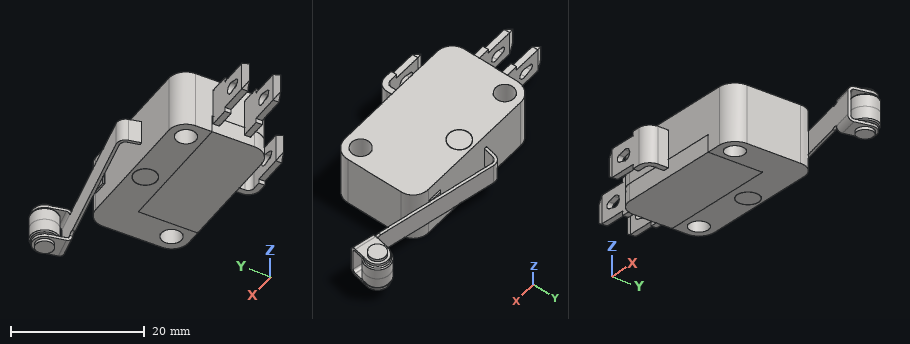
import cadquery as cq
import math


HOUSING_LENGTH = 27.95
HOUSING_DEPTH = 16.1
HOUSING_HEIGHT = 10.0
CORNER_RADIUS = 2.95
MOUNTING_HOLE_DIAMETER = 3.45
MOUNTING_HOLE_INSET = 3.0
PIVOT_X = 14.45
PIVOT_Y = 13.55
PIVOT_HOLE_DIAMETER = 4.0
PIVOT_DIAMETER = 3.9

COVER_LENGTH = 22.25
COVER_DEPTH = 10.3
COVER_HEIGHT = 3.0

TERMINAL_Z = 4.8
TERMINAL_THICKNESS = 1.05
TERMINAL_LENGTH = 10.0
TIP_WIDTH = 3.2
TAB_WIDTH = 4.95
SHOULDER_WIDTH = 6.45
BEVEL_LENGTH = 1.4
SHOULDER_START = 6.5
EYE_SMALL_CENTRE = 3.3
EYE_SMALL_RADIUS = 0.6
EYE_LARGE_CENTRE = 4.75
EYE_LARGE_RADIUS = 0.95
STRAIGHT_TERMINAL_YS = [4.15, 9.55]

BENT_TIP_X = 2.45
BENT_TAB_Y = -3.45
BENT_FLAT_LENGTH = 8.0
BEND_INNER_RADIUS = 0.95

ROLLER_X = 38.5
ROLLER_Y = 17.15
LEVER_Z = 5.25
LEVER_ANGLE = 12.3
LEVER_WIDTH = 4.0
LEVER_THICKNESS = 0.5
LEVER_UNDERSIDE_V = -3.8
LEVER_LEG_U = -26.55
LEVER_BEND_RADIUS = 1.55

CHEEK_WIDTH = 4.0
CHEEK_RADIUS = CHEEK_WIDTH / 2
FORK_BEND_RADIUS = 1.0
FORK_WIDTH = LEVER_WIDTH + 2 * FORK_BEND_RADIUS
RELIEF_LENGTH = 1.25
RELIEF_DEPTH = 0.18

ROLLER_DIAMETER = 4.7
ROLLER_WIDTH = 4.5
ROLLER_CHAMFER = 0.2
AXLE_DIAMETER = 3.05
AXLE_LENGTH = 7.05

PLUNGER_LEFT_X = 22.25
PLUNGER_RIGHT_X = 24.85
PLUNGER_RISE = 0.3
PLUNGER_CHAMFER = 0.2
PLUNGER_WIDTH = 4.25

SINE = math.sin(math.radians(LEVER_ANGLE))
COSINE = math.cos(math.radians(LEVER_ANGLE))
ALONG_LEVER = cq.Vector(COSINE, -SINE, 0)
ACROSS_LEVER = cq.Vector(SINE, COSINE, 0)
ROLLER_CENTRE = cq.Vector(ROLLER_X, ROLLER_Y, LEVER_Z)
LEVER_PLANE = cq.Plane(ROLLER_CENTRE, ALONG_LEVER, cq.Vector(0, 0, 1))


def housing_block():
    """Rounded block that the housing and the cover share."""
    block = cq.Workplane("XY").box(HOUSING_LENGTH, HOUSING_DEPTH, HOUSING_HEIGHT, centered=False)
    return block.edges("|Z").fillet(CORNER_RADIUS)


def cover_space():
    return cq.Workplane("XY").box(COVER_LENGTH, COVER_DEPTH, COVER_HEIGHT, centered=False)


def make_housing():
    mounting_holes = [
        (MOUNTING_HOLE_INSET, HOUSING_DEPTH - MOUNTING_HOLE_INSET),
        (HOUSING_LENGTH - MOUNTING_HOLE_INSET, MOUNTING_HOLE_INSET),
    ]
    holes = (
        cq.Workplane("XY")
        .pushPoints(mounting_holes)
        .circle(MOUNTING_HOLE_DIAMETER / 2)
        .extrude(HOUSING_HEIGHT)
    )
    pivot_hole = cylinder_at(PIVOT_X, PIVOT_Y, PIVOT_HOLE_DIAMETER)
    return housing_block().cut(cover_space()).cut(holes).cut(pivot_hole)


def make_cover():
    return housing_block().intersect(cover_space())


def cylinder_at(x, y, diameter):
    """Cylinder through the full height of the housing."""
    return cq.Workplane("XY").center(x, y).circle(diameter / 2).extrude(HOUSING_HEIGHT)


def make_pivot():
    return cylinder_at(PIVOT_X, PIVOT_Y, PIVOT_DIAMETER)


def terminal_eye():
    """Teardrop cutter: two circles joined by their outer tangents."""
    spacing = EYE_LARGE_CENTRE - EYE_SMALL_CENTRE
    tangent_sine = (EYE_LARGE_RADIUS - EYE_SMALL_RADIUS) / spacing
    tangent_cosine = math.sqrt(1 - tangent_sine**2)
    small_x = EYE_SMALL_CENTRE - EYE_SMALL_RADIUS * tangent_sine
    small_z = EYE_SMALL_RADIUS * tangent_cosine
    large_x = EYE_LARGE_CENTRE - EYE_LARGE_RADIUS * tangent_sine
    large_z = EYE_LARGE_RADIUS * tangent_cosine
    return (
        cq.Workplane("XZ")
        .moveTo(small_x, small_z)
        .lineTo(large_x, large_z)
        .threePointArc((EYE_LARGE_CENTRE + EYE_LARGE_RADIUS, 0), (large_x, -large_z))
        .lineTo(small_x, -small_z)
        .threePointArc((EYE_SMALL_CENTRE - EYE_SMALL_RADIUS, 0), (small_x, small_z))
        .close()
        .extrude(TERMINAL_THICKNESS, both=True)
    )


def terminal_tab(length):
    """Flat tab along +X with its tip at the origin."""
    upper_outline = [
        (0, TIP_WIDTH / 2),
        (BEVEL_LENGTH, TAB_WIDTH / 2),
        (SHOULDER_START, TAB_WIDTH / 2),
        (SHOULDER_START, SHOULDER_WIDTH / 2),
        (length, SHOULDER_WIDTH / 2),
    ]
    lower_outline = [(x, -z) for x, z in reversed(upper_outline)]
    face = (
        cq.Workplane("XZ")
        .polyline(upper_outline + lower_outline)
        .close()
        .extrude(TERMINAL_THICKNESS, both=True)
    )
    half_thickness = TERMINAL_THICKNESS / 2
    sharpened_edge = (
        cq.Workplane("XY")
        .polyline(
            [
                (0, 0),
                (BEVEL_LENGTH, half_thickness),
                (length, half_thickness),
                (length, -half_thickness),
                (BEVEL_LENGTH, -half_thickness),
            ]
        )
        .close()
        .extrude(SHOULDER_WIDTH, both=True)
    )
    return face.intersect(sharpened_edge).cut(terminal_eye())


def make_straight_terminal(y):
    return terminal_tab(TERMINAL_LENGTH).translate((-TERMINAL_LENGTH, y, TERMINAL_Z))


def make_bent_terminal():
    tab = terminal_tab(BENT_FLAT_LENGTH).translate((BENT_TIP_X, BENT_TAB_Y, TERMINAL_Z))
    bend_x = BENT_TIP_X + BENT_FLAT_LENGTH
    inner_y = BENT_TAB_Y + TERMINAL_THICKNESS / 2
    outer_y = BENT_TAB_Y - TERMINAL_THICKNESS / 2
    inner_x = bend_x + BEND_INNER_RADIUS
    outer_x = inner_x + TERMINAL_THICKNESS
    bend_y = inner_y + BEND_INNER_RADIUS
    leg = (
        cq.Workplane("XY")
        .workplane(offset=TERMINAL_Z)
        .moveTo(bend_x, outer_y)
        .radiusArc((outer_x, bend_y), -(BEND_INNER_RADIUS + TERMINAL_THICKNESS))
        .lineTo(outer_x, 0)
        .lineTo(inner_x, 0)
        .lineTo(inner_x, bend_y)
        .radiusArc((bend_x, inner_y), BEND_INNER_RADIUS)
        .close()
        .extrude(SHOULDER_WIDTH / 2, both=True)
    )
    return tab.union(leg)


def lever_strip():
    """Leg, bend and arm; the leg ends on the back face of the housing."""
    top_v = LEVER_UNDERSIDE_V + LEVER_THICKNESS
    inner_leg_u = LEVER_LEG_U + LEVER_THICKNESS
    inner_bend_radius = LEVER_BEND_RADIUS - LEVER_THICKNESS
    bend_u = LEVER_LEG_U + LEVER_BEND_RADIUS
    bend_v = top_v - LEVER_BEND_RADIUS

    def housing_face_v(u):
        return (HOUSING_DEPTH - ROLLER_Y + u * SINE) / COSINE

    return (
        cq.Workplane(LEVER_PLANE)
        .moveTo(LEVER_LEG_U, housing_face_v(LEVER_LEG_U))
        .lineTo(LEVER_LEG_U, bend_v)
        .radiusArc((bend_u, top_v), LEVER_BEND_RADIUS)
        .lineTo(0, top_v)
        .lineTo(0, LEVER_UNDERSIDE_V)
        .lineTo(bend_u, LEVER_UNDERSIDE_V)
        .radiusArc((inner_leg_u, bend_v), -inner_bend_radius)
        .lineTo(inner_leg_u, housing_face_v(inner_leg_u))
        .close()
        .extrude(LEVER_WIDTH / 2, both=True)
    )


def lever_fork():
    """Channel bent up from the arm, its two cheeks rounded about the roller axis."""
    height = CHEEK_RADIUS - LEVER_UNDERSIDE_V
    middle_v = LEVER_UNDERSIDE_V + height / 2
    outside = (
        cq.Workplane(LEVER_PLANE)
        .center(0, middle_v)
        .box(CHEEK_WIDTH, height, FORK_WIDTH)
        .edges(cq.selectors.ParallelDirSelector(ALONG_LEVER))
        .edges(cq.selectors.DirectionMinMaxSelector(ACROSS_LEVER, False))
        .fillet(FORK_BEND_RADIUS)
    )
    inside = (
        cq.Workplane(LEVER_PLANE)
        .center(0, middle_v + LEVER_THICKNESS)
        .box(CHEEK_WIDTH, height, FORK_WIDTH - 2 * LEVER_THICKNESS)
        .edges(cq.selectors.ParallelDirSelector(ALONG_LEVER))
        .edges(cq.selectors.DirectionMinMaxSelector(ACROSS_LEVER, False))
        .fillet(FORK_BEND_RADIUS - LEVER_THICKNESS)
    )
    cheek_outline = (
        cq.Workplane(LEVER_PLANE)
        .moveTo(-CHEEK_RADIUS, LEVER_UNDERSIDE_V)
        .lineTo(-CHEEK_RADIUS, 0)
        .threePointArc((0, CHEEK_RADIUS), (CHEEK_RADIUS, 0))
        .lineTo(CHEEK_RADIUS, LEVER_UNDERSIDE_V)
        .close()
        .extrude(FORK_WIDTH, both=True)
    )
    return outside.cut(inside).intersect(cheek_outline)


def bend_reliefs():
    """Shallow round notches in both edges of the arm, just before the fork."""
    radius = ((RELIEF_LENGTH / 2) ** 2 + RELIEF_DEPTH**2) / (2 * RELIEF_DEPTH)
    centre_u = -CHEEK_RADIUS - RELIEF_LENGTH / 2
    centre_z = LEVER_WIDTH / 2 - RELIEF_DEPTH + radius
    arm_plane = cq.Plane(
        ROLLER_CENTRE + ACROSS_LEVER * LEVER_UNDERSIDE_V, ALONG_LEVER, ACROSS_LEVER
    )
    return (
        cq.Workplane(arm_plane)
        .pushPoints([(centre_u, centre_z), (centre_u, -centre_z)])
        .circle(radius)
        .extrude(LEVER_THICKNESS)
    )


def make_lever():
    strip = lever_strip().cut(bend_reliefs())
    return strip.union(lever_fork()).cut(make_axle())


def make_axle():
    return (
        cq.Workplane(LEVER_PLANE)
        .circle(AXLE_DIAMETER / 2)
        .extrude(AXLE_LENGTH / 2, both=True)
    )


def make_roller():
    wheel = (
        cq.Workplane(LEVER_PLANE)
        .circle(ROLLER_DIAMETER / 2)
        .extrude(ROLLER_WIDTH / 2, both=True)
        .faces("<Z or >Z")
        .chamfer(ROLLER_CHAMFER)
    )
    return wheel.cut(make_axle())


def make_plunger():
    """Low block on the back face of the housing, its top sloped to lie under the lever."""

    def lever_underside_y(x):
        return ROLLER_Y + (LEVER_UNDERSIDE_V - (x - ROLLER_X) * SINE) / COSINE

    top_y = HOUSING_DEPTH + PLUNGER_RISE
    contact_x = ROLLER_X + (LEVER_UNDERSIDE_V - (top_y - ROLLER_Y) * COSINE) / SINE
    return (
        cq.Workplane("XY")
        .workplane(offset=LEVER_Z)
        .moveTo(PLUNGER_LEFT_X, HOUSING_DEPTH)
        .lineTo(PLUNGER_LEFT_X, top_y - PLUNGER_CHAMFER)
        .lineTo(PLUNGER_LEFT_X + PLUNGER_CHAMFER, top_y)
        .lineTo(contact_x, top_y)
        .lineTo(PLUNGER_RIGHT_X, lever_underside_y(PLUNGER_RIGHT_X))
        .lineTo(PLUNGER_RIGHT_X, HOUSING_DEPTH)
        .close()
        .extrude(PLUNGER_WIDTH / 2, both=True)
    )


housing = make_housing()
cover = make_cover()
pivot = make_pivot()
straight_terminals = [make_straight_terminal(y) for y in STRAIGHT_TERMINAL_YS]
bent_terminal = make_bent_terminal()
lever = make_lever()
axle = make_axle()
roller = make_roller()
plunger = make_plunger()

result = cq.Compound.makeCompound(
    [
        housing.val(),
        cover.val(),
        pivot.val(),
        *[terminal.val() for terminal in straight_terminals],
        bent_terminal.val(),
        lever.val(),
        axle.val(),
        roller.val(),
        plunger.val(),
    ]
)